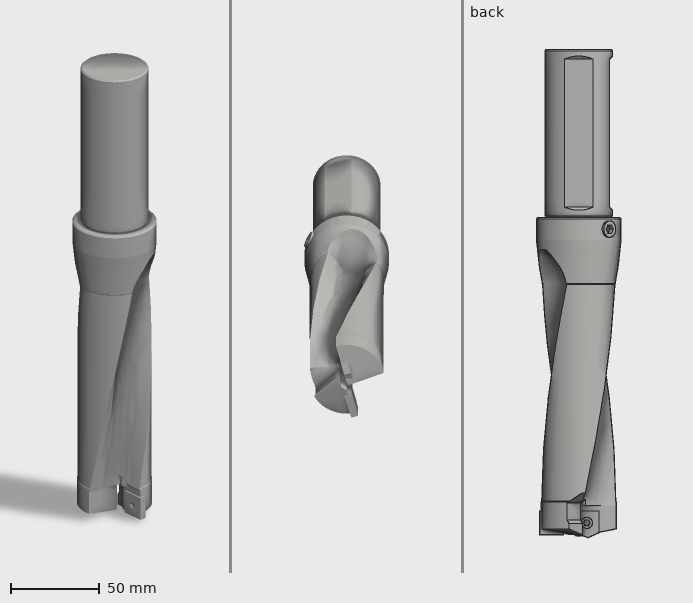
import cadquery as cq
import math

TOTAL_LENGTH = 275.0

SHANK_RADIUS = 38.2 / 2
SHANK_CHAMFER = 0.8
FLAT_WIDTH = 16.0
FLAT_BOTTOM_Z = 186.2
FLAT_TOP_Z = 269.5

COLLAR_RADIUS = 47.5 / 2
COLLAR_TOP_Z = 180.5
COLLAR_BOTTOM_Z = 167.2
COLLAR_CHAMFER = 0.8
RECESS_RADIUS = 21.0
RECESS_DEPTH = 0.5
UNDERCUT_RADIUS = 18.5
UNDERCUT_HEIGHT = 0.8
MARK_WIDTH = 5.0

CONE_BOTTOM_Z = 143.3
NECK_RADIUS = 21.2
STEP_HEIGHT = 0.5
BODY_RADIUS = 21.0
HEAD_RADIUS = 21.2
HEAD_TOP_Z = 20.0
RIM_Z = 5.0
TIP_Z = 0.8

WEB_OFFSET = 2.2
FLUTE_WALL = 35.8
FLUTE_CORNER_RADIUS = 10.2
TWIST_START_Z = 18.2
TWIST_END_Z = 141.7
TWIST_ANGLE = 70.5

INSERT_SIDE = 13.5
INSERT_THICKNESS = 3.9
OUTER_INSERT_LEFT = 8.5
OUTER_INSERT_BOTTOM = 1.7
INNER_TIP_X = -5.2
INNER_SIDE_RISE = 2.8

SCREW_HEAD_DIAMETER = 6.3
SCREW_HEAD_HEIGHT = 1.7
SCREW_SHANK_DIAMETER = 4.0
SCREW_LENGTH = 9.5
SCREW_SOCKET_DIAMETER = 3.5
SCREW_SOCKET_DEPTH = 1.5

GROOVE_LEFT = 5.2
GROOVE_RIGHT = 7.5
GROOVE_DEPTH = 1.7
GROOVE_TOP_Z = 24.2
RELIEF_DEPTH = 4.0
SEAT_STEP_TOP_Z = 20.4
SEAT_STEP_BOTTOM_Z = 18.5
SEAT_STEP_DEPTH = 0.8

POCKET_SLANT = 25.0
POCKET_WALL_TOP_Z = 19.5
POCKET_LEDGE_BOTTOM_Z = 8.0
POCKET_LEDGE_TOP_Z = 10.0
POCKET_LEDGE_WIDTH = 1.0
POCKET_TOP_Z = 25.3
POCKET_CEILING_RUN = 7.0

PLUG_DIAMETER = 9.4
PLUG_ANGLE = 135.0
PLUG_Z = 173.8
PLUG_FACE_RADIUS = 24.8
PLUG_LENGTH = 8.3
PLUG_SOCKET_DIAMETER = 5.5
PLUG_SOCKET_DEPTH = 2.8

FLAT_DISTANCE = math.sqrt(SHANK_RADIUS**2 - (FLAT_WIDTH / 2) ** 2)
MARK_DISTANCE = math.sqrt(COLLAR_RADIUS**2 - (MARK_WIDTH / 2) ** 2)
TWIST_HEIGHT = TWIST_END_Z - TWIST_START_Z
INSERT_CENTER_X = OUTER_INSERT_LEFT + INSERT_SIDE / 2
INSERT_CENTER_Z = OUTER_INSERT_BOTTOM + INSERT_SIDE / 2
INNER_CENTER_X = WEB_OFFSET - INSERT_SIDE / 2


def box_between(low, high):
    sizes = [b - a for a, b in zip(low, high)]
    return cq.Workplane("XY").box(*sizes, centered=False).translate(low)


def turned(shape, angle):
    return shape.rotate((0, 0, 0), (0, 0, 1), angle)


def turned_blank():
    return (
        cq.Workplane("XZ")
        .moveTo(0, TIP_Z)
        .lineTo(HEAD_RADIUS, RIM_Z)
        .lineTo(HEAD_RADIUS, HEAD_TOP_Z)
        .lineTo(BODY_RADIUS, HEAD_TOP_Z + STEP_HEIGHT)
        .lineTo(BODY_RADIUS, CONE_BOTTOM_Z - STEP_HEIGHT)
        .lineTo(NECK_RADIUS, CONE_BOTTOM_Z)
        .lineTo(COLLAR_RADIUS, COLLAR_BOTTOM_Z)
        .lineTo(COLLAR_RADIUS, COLLAR_TOP_Z - COLLAR_CHAMFER)
        .lineTo(COLLAR_RADIUS - COLLAR_CHAMFER, COLLAR_TOP_Z)
        .lineTo(RECESS_RADIUS, COLLAR_TOP_Z)
        .lineTo(RECESS_RADIUS, COLLAR_TOP_Z - RECESS_DEPTH)
        .lineTo(UNDERCUT_RADIUS, COLLAR_TOP_Z - RECESS_DEPTH)
        .lineTo(UNDERCUT_RADIUS, COLLAR_TOP_Z + UNDERCUT_HEIGHT)
        .lineTo(SHANK_RADIUS, COLLAR_TOP_Z + UNDERCUT_HEIGHT)
        .lineTo(SHANK_RADIUS, TOTAL_LENGTH - SHANK_CHAMFER)
        .lineTo(SHANK_RADIUS - SHANK_CHAMFER, TOTAL_LENGTH)
        .lineTo(0, TOTAL_LENGTH)
        .close()
        .revolve(360, (0, 0, 0), (0, 1, 0))
    )


def shank_flat_cutter():
    """Flat on the -X side with 45 degree ends."""
    reach = COLLAR_RADIUS - FLAT_DISTANCE
    return (
        cq.Workplane("XZ")
        .moveTo(-FLAT_DISTANCE, FLAT_BOTTOM_Z)
        .lineTo(-FLAT_DISTANCE - reach, FLAT_BOTTOM_Z - reach)
        .lineTo(-FLAT_DISTANCE - reach, FLAT_TOP_Z + reach)
        .lineTo(-FLAT_DISTANCE, FLAT_TOP_Z)
        .close()
        .extrude(SHANK_RADIUS, both=True)
    )


def collar_mark_cutter():
    return box_between(
        (-2 * COLLAR_RADIUS, -MARK_WIDTH, COLLAR_BOTTOM_Z),
        (-MARK_DISTANCE, MARK_WIDTH, COLLAR_TOP_Z),
    )


def flute_section(z):
    """Right-angled section opening to -X and +Y, with a round inner corner."""
    bend = FLUTE_CORNER_RADIUS
    inset = bend * (1 - math.sqrt(0.5))
    return (
        cq.Workplane("XY", origin=(0, 0, z))
        .moveTo(-WEB_OFFSET - FLUTE_WALL, 0)
        .lineTo(-WEB_OFFSET - bend, 0)
        .threePointArc((-WEB_OFFSET - inset, inset), (-WEB_OFFSET, bend))
        .lineTo(-WEB_OFFSET, FLUTE_WALL)
        .close()
    )


def flute_cutter():
    """Straight square-cornered mouth, twisted length and curved run-out."""
    mouth = box_between((-WEB_OFFSET - FLUTE_WALL, 0, 0), (-WEB_OFFSET, FLUTE_WALL, TWIST_START_Z))
    twisted = flute_section(TWIST_START_Z).twistExtrude(TWIST_HEIGHT, TWIST_ANGLE)
    run_out = flute_section(TWIST_END_Z).revolve(
        90, (-WEB_OFFSET, FLUTE_WALL, 0), (-WEB_OFFSET - FLUTE_WALL, 0, 0)
    )
    return [mouth, twisted, turned(run_out, TWIST_ANGLE)]


def slanted_pocket_cutter():
    """Chip pocket beside the inner insert, with a slanted side wall and a sloping ceiling."""
    return (
        cq.Workplane("XZ")
        .lineTo(0, POCKET_LEDGE_BOTTOM_Z)
        .lineTo(POCKET_LEDGE_WIDTH, POCKET_LEDGE_TOP_Z)
        .lineTo(POCKET_LEDGE_WIDTH, POCKET_WALL_TOP_Z)
        .lineTo(-POCKET_CEILING_RUN, POCKET_TOP_Z)
        .lineTo(-FLUTE_WALL, POCKET_TOP_Z)
        .lineTo(-FLUTE_WALL, 0)
        .close()
        .extrude(-FLUTE_WALL)
        .rotate((0, 0, 0), (0, 0, 1), -POCKET_SLANT)
        .translate((-WEB_OFFSET, RELIEF_DEPTH, 0))
    )


def relief_cutter():
    """Gap in front of the inner insert, its back wall slanting forward to the relief groove."""
    return (
        cq.Workplane("XY")
        .moveTo(-WEB_OFFSET, 0)
        .lineTo(-WEB_OFFSET, RELIEF_DEPTH)
        .lineTo(WEB_OFFSET, RELIEF_DEPTH)
        .lineTo(GROOVE_LEFT, GROOVE_DEPTH)
        .lineTo(GROOVE_LEFT, 0)
        .close()
        .extrude(HEAD_TOP_Z)
    )


def groove_cutter():
    """Round-topped groove between the relief gap and the outer insert."""
    width = GROOVE_RIGHT - GROOVE_LEFT
    return (
        cq.Workplane("XZ")
        .moveTo(GROOVE_LEFT, 0)
        .lineTo(GROOVE_LEFT, GROOVE_TOP_Z - width / 2)
        .threePointArc((GROOVE_LEFT + width / 2, GROOVE_TOP_Z), (GROOVE_RIGHT, GROOVE_TOP_Z - width / 2))
        .lineTo(GROOVE_RIGHT, 0)
        .close()
        .extrude(GROOVE_DEPTH + RELIEF_DEPTH)
        .translate((0, GROOVE_DEPTH, 0))
    )


def seat_step_cutter():
    """Shallow step with a sloping top that sets the body back around the outer insert."""
    return (
        cq.Workplane("YZ", origin=(GROOVE_RIGHT, 0, 0))
        .lineTo(0, SEAT_STEP_TOP_Z)
        .lineTo(SEAT_STEP_DEPTH, SEAT_STEP_BOTTOM_Z)
        .lineTo(SEAT_STEP_DEPTH, 0)
        .close()
        .extrude(HEAD_RADIUS)
    )


def outer_insert_blank():
    return box_between(
        (OUTER_INSERT_LEFT, 0, OUTER_INSERT_BOTTOM),
        (OUTER_INSERT_LEFT + INSERT_SIDE, INSERT_THICKNESS, OUTER_INSERT_BOTTOM + INSERT_SIDE),
    )


def inner_insert_blank():
    left = WEB_OFFSET - INSERT_SIDE
    top = OUTER_INSERT_BOTTOM + INSERT_SIDE
    return (
        cq.Workplane("XZ")
        .moveTo(INNER_TIP_X, 0)
        .lineTo(WEB_OFFSET, INNER_SIDE_RISE)
        .lineTo(WEB_OFFSET, top)
        .lineTo(left, top)
        .lineTo(left, INNER_SIDE_RISE)
        .close()
        .extrude(INSERT_THICKNESS)
    )


def screw_blank():
    """Insert screw along +Y with its head face on Y = 0, at the outer insert's centre."""
    head = SCREW_HEAD_DIAMETER / 2
    neck = SCREW_SHANK_DIAMETER / 2
    profile = (
        cq.Workplane("XY")
        .lineTo(head, 0)
        .lineTo(neck, SCREW_HEAD_HEIGHT)
        .lineTo(neck, SCREW_LENGTH)
        .lineTo(0, SCREW_LENGTH)
        .close()
    )
    return profile.revolve(360, (0, 0, 0), (0, 1, 0)).translate((INSERT_CENTER_X, 0, INSERT_CENTER_Z))


def screw_socket():
    socket = cq.Workplane("XZ", origin=(INSERT_CENTER_X, 0, INSERT_CENTER_Z)).polygon(6, SCREW_SOCKET_DIAMETER)
    return socket.extrude(-SCREW_SOCKET_DEPTH)


def to_outer_seat(shape):
    return shape


def to_inner_seat(shape):
    """Half a turn from the outer insert's seat, then along X to the inner insert's centre."""
    return turned(shape, 180).translate((INNER_CENTER_X + INSERT_CENTER_X, 0, 0))


def plug_blank():
    plug = cq.Workplane("YZ", origin=(PLUG_FACE_RADIUS - PLUG_LENGTH, 0, PLUG_Z)).circle(PLUG_DIAMETER / 2)
    return turned(plug.extrude(PLUG_LENGTH), PLUG_ANGLE)


def plug_socket():
    socket = cq.Workplane("YZ", origin=(PLUG_FACE_RADIUS, 0, PLUG_Z)).polygon(6, PLUG_SOCKET_DIAMETER)
    return turned(socket.extrude(-PLUG_SOCKET_DEPTH), PLUG_ANGLE)


seatings = (to_outer_seat, to_inner_seat)
screw_seats = [seat(screw_blank()) for seat in seatings]

drill_body = turned_blank().cut(collar_mark_cutter())
for angle in (0, -90):
    drill_body = drill_body.cut(turned(shank_flat_cutter(), angle))
for angle in (0, 180):
    for cutter in flute_cutter():
        drill_body = drill_body.cut(turned(cutter, angle))
head_cutters = [slanted_pocket_cutter(), relief_cutter(), groove_cutter(), seat_step_cutter()]
fitted_blanks = [outer_insert_blank(), inner_insert_blank(), *screw_seats, plug_blank()]
for cutter in head_cutters + fitted_blanks:
    drill_body = drill_body.cut(cutter)

outer_insert = outer_insert_blank().cut(screw_seats[0])
inner_insert = inner_insert_blank().cut(screw_seats[1])
insert_screws = [seat(screw_blank().cut(screw_socket())) for seat in seatings]
coolant_plug = plug_blank().cut(plug_socket())

result = cq.Compound.makeCompound(
    [
        drill_body.val(),
        outer_insert.val(),
        inner_insert.val(),
        *[screw.val() for screw in insert_screws],
        coolant_plug.val(),
    ]
)